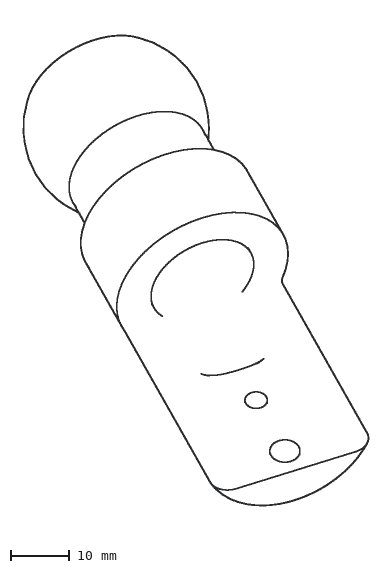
import cadquery as cq
import math

length = 88.9
outer_diameter = 31.7
ball_length = 19.0
neck_end = 28.5
collar_end = 47.65
tongue_top = -6.3

bore_diameter = 19.0
bore_depth = 63.5
bore_mouth_chamfer = 0.8
edge_radius = 0.7

small_hole_x = 71.4
small_hole_diameter = 3.8
large_hole_x = 84.1
large_hole_diameter = 5.2

outer_radius = outer_diameter / 2
bore_radius = bore_diameter / 2

ball_center = ball_length / 2
neck_radius = math.sqrt(outer_radius**2 - ball_center**2)

round_radius = outer_radius - neck_radius

axis_start = (0, 0, 0)
axis_end = (1, 0, 0)


def make_body():
    """Solid of revolution from the ball to the tongue tip, without the bore."""
    return (
        cq.Workplane("XY")
        .lineTo(0, neck_radius)
        .threePointArc((ball_center, outer_radius), (ball_length, neck_radius))
        .lineTo(neck_end, neck_radius)
        .tangentArcPoint((neck_end + round_radius, outer_radius), relative=False)
        .lineTo(length - round_radius, outer_radius)
        .tangentArcPoint((length, outer_radius - round_radius), relative=False)
        .lineTo(length, 0)
        .close()
        .revolve(360, axis_start, axis_end)
    )


def make_bore():
    """Blind bore with a chamfered mouth and a rounded closed end."""
    return (
        cq.Workplane("XY")
        .lineTo(0, bore_radius + bore_mouth_chamfer)
        .lineTo(bore_mouth_chamfer, bore_radius)
        .lineTo(bore_depth - round_radius, bore_radius)
        .tangentArcPoint((bore_depth, bore_radius - round_radius), relative=False)
        .lineTo(bore_depth, 0)
        .close()
        .revolve(360, axis_start, axis_end)
    )


def make_tongue_cut():
    """Block removed above the tongue."""
    return (
        cq.Workplane("XY", origin=(collar_end, 0, tongue_top))
        .box(length - collar_end, outer_diameter, outer_diameter, centered=(False, True, False))
    )


def round_tongue_edges(part):
    """Round the tongue root against the collar and the rim where the bore opens as a trough."""
    margin = edge_radius / 2
    root_and_rim = cq.selectors.BoxSelector(
        (collar_end - margin, -outer_radius, tongue_top - margin),
        (bore_depth + margin, outer_radius, tongue_top + margin),
        boundingbox=True,
    )
    return part.edges(root_and_rim).fillet(edge_radius)


def make_hole(hole_x, diameter):
    """Cylinder that passes down through the tongue on its centre line."""
    return cq.Workplane("XY").center(hole_x, 0).circle(diameter / 2).extrude(-outer_diameter)


result = make_body().cut(make_tongue_cut()).cut(make_bore())
result = round_tongue_edges(result)
result = result.cut(make_hole(small_hole_x, small_hole_diameter))
result = result.cut(make_hole(large_hole_x, large_hole_diameter))